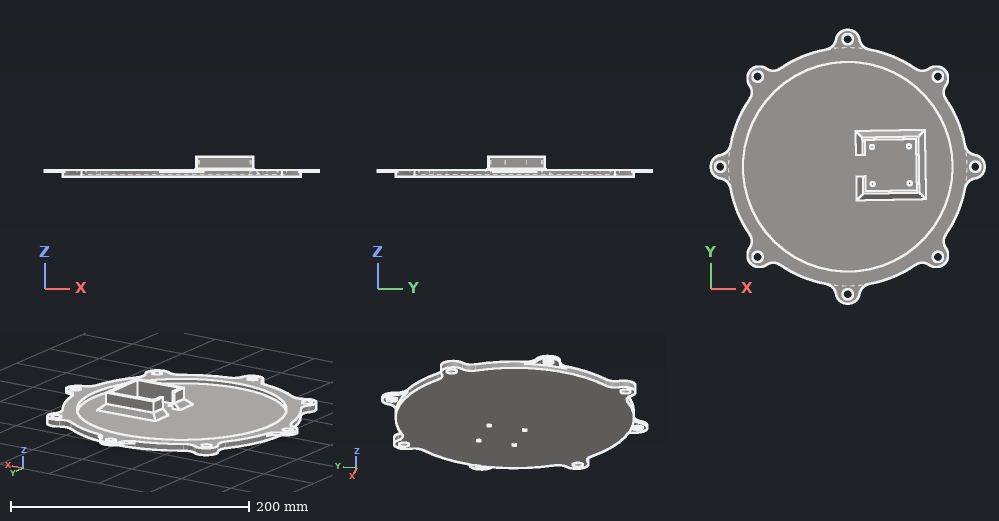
import cadquery as cq
import math

disc_radius = 100.0
pocket_diameter = 176.0
rim_height = 6.0
floor_thickness = 2.0

overall_size = 230.0
ear_count = 8
ear_radius = 10.1
ear_distance = overall_size / 2 - ear_radius
ear_fillet = 10.1
thin_ear_thickness = 2.0
ear_hole_diameter = 8.5
ear_hole_distance = 107.0

holder_x = 36.0
holder_y = 1.4
holder_angle = 1.0
holder_inside = 43.0
wall_thickness = 2.0
holder_outside = holder_inside + 2 * wall_thickness
holder_top = 17.0
skirt_reach = 5.5
skirt_height = 5.0
opening_width = 18.0
pin_hole_diameter = 3.2
pin_hole_pitch = 31.0


def polar(radius, angle):
    return radius * math.cos(angle), radius * math.sin(angle)


def make_ear(angle_degrees, thickness):
    """Ear with concave blends into the disc, flush with the top of the rim."""
    blend_distance = disc_radius + ear_fillet
    reach = ear_radius + ear_fillet
    cosine = (blend_distance**2 + ear_distance**2 - reach**2) / (2 * blend_distance * ear_distance)
    blend_angle = math.acos(cosine)
    blend_x, blend_y = polar(blend_distance, blend_angle)

    disc_x, disc_y = polar(disc_radius, blend_angle)
    ear_share = ear_radius / reach
    ear_x = ear_distance + (blend_x - ear_distance) * ear_share
    ear_y = blend_y * ear_share

    inward = math.atan2((disc_y + ear_y) / 2 - blend_y, (disc_x + ear_x) / 2 - blend_x)
    offset_x, offset_y = polar(ear_fillet, inward)
    mid_x = blend_x + offset_x
    mid_y = blend_y + offset_y

    return (
        cq.Workplane("XY", origin=(0, 0, rim_height - thickness))
        .moveTo(disc_x, disc_y)
        .threePointArc((mid_x, mid_y), (ear_x, ear_y))
        .threePointArc((ear_distance + ear_radius, 0), (ear_x, -ear_y))
        .threePointArc((mid_x, -mid_y), (disc_x, -disc_y))
        .threePointArc((disc_radius, 0), (disc_x, disc_y))
        .close()
        .extrude(thickness)
        .rotate((0, 0, 0), (0, 0, 1), angle_degrees)
    )


def place_on_floor(body):
    """Move a body built about the origin to the holder's place and angle."""
    return body.rotate((0, 0, 0), (0, 0, 1), holder_angle).translate((holder_x, holder_y, floor_thickness))


def make_holder():
    wall_height = holder_top - floor_thickness
    skirt_size = holder_outside + 2 * skirt_reach
    walls = cq.Workplane("XY").rect(holder_outside, holder_outside).extrude(wall_height)
    skirt = (
        cq.Workplane("XY")
        .rect(skirt_size, skirt_size)
        .workplane(offset=skirt_height)
        .rect(holder_outside, holder_outside)
        .loft(ruled=True)
    )
    inside = cq.Workplane("XY").rect(holder_inside, holder_inside).extrude(wall_height)
    opening = (
        cq.Workplane("XY")
        .center(-skirt_size / 2, 0)
        .rect(skirt_size, opening_width)
        .extrude(wall_height)
    )
    return place_on_floor(walls.union(skirt).cut(inside).cut(opening))


def make_pin_holes():
    holes = (
        cq.Workplane("XY")
        .rect(pin_hole_pitch, pin_hole_pitch, forConstruction=True)
        .vertices()
        .circle(pin_hole_diameter / 2)
        .extrude(-floor_thickness)
    )
    return place_on_floor(holes)


plate = cq.Workplane("XY").circle(disc_radius).extrude(rim_height)
for index in range(ear_count):
    on_diagonal = index % 2 == 1
    ear_thickness = rim_height if on_diagonal else thin_ear_thickness
    plate = plate.union(make_ear(index * 360 / ear_count, ear_thickness))

ear_holes = (
    cq.Workplane("XY")
    .polarArray(ear_hole_distance, 0, 360, ear_count)
    .circle(ear_hole_diameter / 2)
    .extrude(rim_height)
)
pocket = (
    cq.Workplane("XY", origin=(0, 0, floor_thickness))
    .circle(pocket_diameter / 2)
    .extrude(rim_height - floor_thickness)
)

result = plate.cut(ear_holes).cut(pocket).union(make_holder()).cut(make_pin_holes())